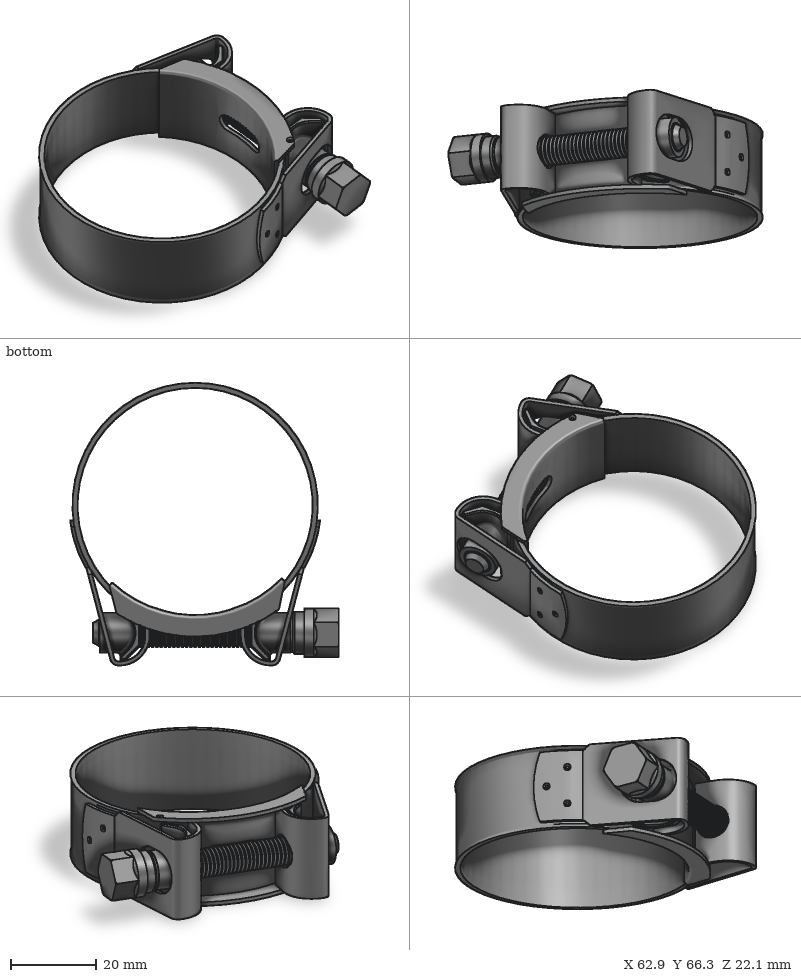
import cadquery as cq
import math

sheet = 1.0
band_half_width = 10.05
band_outer_r = 28.5
band_inner_r = band_outer_r - sheet

flare_height = 0.85
flare_out = 0.25

loop_top_y = 37.5
loop_arc_r = 7.0
loop_inner_x = 10.65
loop_corner_r = 2.05
kink_x = 25.5
kink_y = 14.6
leg_tilt = 14.7

tongue_half_width = 8.6
tongue_shoulder_y = 16.1
tongue_corner_y = 5.0
tongue_tip_y = 3.5
weld_spots = [(11.3, 4.5), (11.3, -4.5), (6.6, 0.0)]
spot_r = 0.8
spot_floor_r = 0.3
spot_depth = 0.25

screw_y = 29.8
thread_r = 3.45
thread_root_r = 2.8
thread_pitch = 1.0
thread_crest = 0.25
thread_half_length = 12.9
tip_x = -23.9
tip_base_x = -22.5
tip_base_r = 3.1
tip_r = 2.3
head_neck_r = 4.5
head_neck_end_x = 22.85
head_collar_x = 23.3
head_collar_r = 4.95
head_flange_x = 25.55
head_flange_end_x = 27.8
head_flange_r = 5.7
head_end_x = 33.65
hex_across_flats = 10.0
hex_turn = 5.0
hex_chamfer = 0.25

leg_slot_length = 13.25
leg_slot_width = 10.6
leg_slot_y = 29.6
inner_hole_r = 4.0

barrel_r = 4.7
barrel_end_x = 22.3
seat_half_width = 8.95
seat_front_x = 12.9
seat_flat_half = 3.1
seat_half_height = 6.4
seat_tip_x = 16.3
seat_heel_x = 17.55
seat_heel_half = 5.5
seat_bend_r = 5.3
seat_chamfer = 0.3
barrel_fillet = 0.65

bridge_top_y = 26.6
bridge_half_length = 20.5
flange_height = 4.1
flange_shoulder_x = 19.1
flange_shoulder_y = 24.7
flange_corner_r = 1.0
bridge_turn = -1.4
bridge_slot_length = 13.6
bridge_slot_width = 4.8
bridge_spot = (18.1, 24.4)


def both_sides(shape):
    """Join a left-hand shape with its mirror image about the YZ plane."""
    return shape.union(shape.mirror("YZ"))


def slab(x0, x1, y0, y1, half_height):
    """Box between the given X and Y limits, centred on Z = 0."""
    box = cq.Workplane("XY").box(x1 - x0, y1 - y0, 2 * half_height)
    return box.translate(((x0 + x1) / 2, (y0 + y1) / 2, 0))


def weld_spot(x, y, z, direction):
    """Tapered recess that goes from a surface point into the sheet."""
    return cq.Workplane(obj=cq.Solid.makeCone(
        spot_r, spot_floor_r, spot_depth, cq.Vector(x, y, z), cq.Vector(*direction)))


def make_ring():
    """Open ring with its rims flared on the outside."""
    rim_start = band_half_width - flare_height
    section = [
        (band_inner_r, -band_half_width),
        (band_outer_r + flare_out, -band_half_width),
        (band_outer_r, -rim_start),
        (band_outer_r, rim_start),
        (band_outer_r + flare_out, band_half_width),
        (band_inner_r, band_half_width),
    ]
    ring = cq.Workplane("XZ").polyline(section).close().revolve(360, (0, 0), (0, 1))
    gap = slab(-loop_inner_x, loop_inner_x, 0, loop_top_y, 2 * band_half_width)
    return ring.cut(gap)


def make_loop():
    """Left loop with its tongue, as one bent strip."""
    arc_x = -loop_inner_x - loop_arc_r
    arc_y = loop_top_y - loop_arc_r
    foot_y = kink_y - sheet / 2
    slope = math.tan(math.radians(leg_tilt))
    leg_foot_x = -kink_x + (foot_y - kink_y) * slope
    leg_top_x = -kink_x + (loop_top_y - kink_y) * slope
    outside = (
        cq.Workplane("XY")
        .moveTo(leg_foot_x, foot_y)
        .lineTo(leg_top_x, loop_top_y)
        .lineTo(arc_x, loop_top_y)
        .radiusArc((-loop_inner_x, arc_y), loop_arc_r)
        .lineTo(-loop_inner_x, foot_y)
        .close()
    )
    corner = cq.selectors.NearestToPointSelector((leg_top_x, loop_top_y, 0))
    outer = outside.extrude(band_half_width, both=True).edges("|Z").edges(corner).fillet(loop_corner_r)
    outline = outer.faces(">Z").wires().val()
    inner = (cq.Workplane("XY").add(outline.translate(cq.Vector(0, 0, -2 * band_half_width)))
             .toPending().offset2D(-sheet).extrude(3 * band_half_width))
    bore = cq.Workplane("XY").circle(band_outer_r - sheet / 2).extrude(band_half_width, both=True)
    above_kink = slab(-loop_top_y, 0, kink_y, 2 * loop_top_y, band_half_width)
    strip = outer.cut(inner).cut(bore).intersect(above_kink)

    tongue = (cq.Workplane("XY").circle(band_outer_r + sheet).circle(band_outer_r)
              .extrude(band_half_width, both=True)
              .intersect(slab(-2 * kink_x, 0, 0, kink_y, band_half_width)))

    side_outline = (
        cq.Workplane("YZ")
        .moveTo(loop_top_y, band_half_width)
        .lineTo(tongue_shoulder_y, band_half_width)
        .lineTo(kink_y, tongue_half_width)
        .lineTo(tongue_corner_y, tongue_half_width)
        .threePointArc((tongue_tip_y, 0), (tongue_corner_y, -tongue_half_width))
        .lineTo(kink_y, -tongue_half_width)
        .lineTo(tongue_shoulder_y, -band_half_width)
        .lineTo(loop_top_y, -band_half_width)
        .close()
        .extrude(-2 * kink_x)
    )
    loop = strip.union(tongue).intersect(side_outline)

    leg_slot = (cq.Workplane("YZ", origin=(arc_x, 0, 0)).center(leg_slot_y, 0)
                .slot2D(leg_slot_length, leg_slot_width).extrude(-kink_x))
    loop = loop.cut(leg_slot)
    for y, z in weld_spots:
        x = -math.sqrt((band_outer_r + sheet) ** 2 - y ** 2)
        loop = loop.cut(weld_spot(x, y, z, (-x, -y, 0)))
    return loop


def make_band():
    """Ring, both loops and both tongues, with the clearance holes for the screw."""
    hole_reach = loop_inner_x + 2 * sheet
    screw_hole = (cq.Workplane("YZ", origin=(-hole_reach, 0, 0)).center(screw_y, 0)
                  .circle(inner_hole_r).extrude(2 * hole_reach))
    return make_ring().union(both_sides(make_loop())).cut(screw_hole)


def make_bridge():
    """Curved channel under the gap; its base ends rest on the inside of the band."""
    end_y = math.sqrt(band_inner_r ** 2 - bridge_half_length ** 2)
    rise = bridge_top_y - end_y
    base_r = (bridge_half_length ** 2 + rise ** 2) / (2 * rise)
    centre_y = bridge_top_y - base_r
    base_in = base_r - sheet
    half_width = band_half_width + sheet

    def block(r0, r1, half_height):
        return cq.Workplane("XY").circle(r1).circle(r0).extrude(half_height, both=True)

    channel = block(base_in, base_r + flange_height, half_width)
    channel = channel.faces("|Z").edges(cq.selectors.RadiusNthSelector(0)).fillet(sheet)
    channel = channel.cut(block(base_r, base_r + 2 * flange_height, band_half_width))
    channel = channel.translate((0, centre_y, 0))

    lean = (flange_shoulder_x - bridge_half_length) / (flange_shoulder_y - end_y)
    top_y = bridge_top_y + flange_height
    top_x = bridge_half_length + lean * (top_y - end_y)
    outline = [
        (0, centre_y),
        (bridge_half_length, end_y),
        (top_x, top_y),
        (-top_x, top_y),
        (-bridge_half_length, end_y),
    ]
    bridge = channel.intersect(cq.Workplane("XY").polyline(outline).close().extrude(half_width, both=True))
    for side in (-1, 1):
        for z in (-half_width, half_width):
            corner = cq.selectors.NearestToPointSelector((side * flange_shoulder_x, flange_shoulder_y, z))
            bridge = bridge.edges("|Z").edges(corner).fillet(flange_corner_r)

    slot = cq.Workplane("XZ").slot2D(bridge_slot_length, bridge_slot_width).extrude(-bridge_top_y)
    bridge = bridge.cut(slot).rotate((0, 0, 0), (0, 0, 1), bridge_turn)
    return bridge.cut(weld_spot(*bridge_spot, half_width, (0, 0, -1)))


def make_screw():
    """Threaded shank with a tapered tip and a flanged hexagon head."""
    flange_slope_end = head_flange_end_x + head_flange_r - hex_across_flats / 2
    profile = [
        (tip_x, 0),
        (tip_x, tip_r),
        (tip_base_x, tip_base_r),
        (-barrel_end_x, tip_base_r),
        (-barrel_end_x, thread_r),
        (barrel_end_x, thread_r),
        (barrel_end_x, head_neck_r),
        (head_neck_end_x, head_neck_r),
        (head_collar_x, head_collar_r),
        (head_flange_x, head_collar_r),
        (head_flange_x, head_flange_r),
        (head_flange_end_x, head_flange_r),
        (flange_slope_end, hex_across_flats / 2),
        (flange_slope_end, 0),
    ]
    body = cq.Workplane("XY").polyline(profile).close().revolve(360, (0, 0), (1, 0))

    start = -thread_half_length
    grooves = cq.Workplane("XY").moveTo(start, 2 * thread_r).lineTo(start, thread_r)
    for i in range(round(2 * thread_half_length / thread_pitch)):
        start = -thread_half_length + i * thread_pitch
        grooves = (grooves.lineTo(start + thread_crest / 2, thread_r)
                   .lineTo(start + thread_pitch / 2, thread_root_r)
                   .lineTo(start + thread_pitch - thread_crest / 2, thread_r))
    grooves = (grooves.lineTo(thread_half_length, thread_r).lineTo(thread_half_length, 2 * thread_r).close()
               .revolve(360, (0, 0), (1, 0)))

    corner_r = hex_across_flats / math.sqrt(3)
    hexagon = (cq.Workplane("YZ", origin=(head_flange_end_x, 0, 0)).polygon(6, 2 * corner_r)
               .extrude(head_end_x - head_flange_end_x)
               .rotate((0, 0, 0), (1, 0, 0), hex_turn))
    rounding = (cq.Workplane("YZ", origin=(head_flange_end_x, 0, 0)).circle(corner_r)
                .extrude(head_end_x - head_flange_end_x).faces(">X").chamfer(hex_chamfer))
    return body.cut(grooves).union(hexagon.intersect(rounding)).translate((0, screw_y, 0))


def make_trunnion(side):
    """Barrel with a three-sided seat; side is -1 for the left end, 1 for the right."""
    seat_back_corner_x = seat_heel_x - seat_heel_half
    seat = (
        cq.Workplane("XY")
        .moveTo(-seat_front_x, seat_flat_half)
        .lineTo(-seat_tip_x, seat_half_height)
        .lineTo(-seat_heel_x, seat_half_height)
        .lineTo(-seat_heel_x, seat_heel_half)
        .lineTo(-seat_back_corner_x, 0)
        .lineTo(-seat_heel_x, -seat_heel_half)
        .lineTo(-seat_heel_x, -seat_half_height)
        .lineTo(-seat_tip_x, -seat_half_height)
        .lineTo(-seat_front_x, -seat_flat_half)
        .close()
        .extrude(seat_half_width, both=True)
        .edges("|Z").edges(cq.selectors.NearestToPointSelector((-seat_back_corner_x, 0, 0)))
        .fillet(seat_bend_r)
        .faces("|Z").chamfer(seat_chamfer)
    )
    barrel = (cq.Workplane("YZ", origin=(-barrel_end_x, 0, 0)).circle(barrel_r)
              .extrude(barrel_end_x - seat_front_x))
    behind_front = (
        cq.Workplane("XY")
        .moveTo(-barrel_end_x, seat_half_height)
        .lineTo(-seat_tip_x, seat_half_height)
        .lineTo(-seat_front_x, seat_flat_half)
        .lineTo(-seat_front_x, -seat_flat_half)
        .lineTo(-seat_tip_x, -seat_half_height)
        .lineTo(-barrel_end_x, -seat_half_height)
        .close()
        .extrude(seat_half_width, both=True)
    )
    trunnion = seat.union(barrel.intersect(behind_front))
    joint = cq.selectors.BoxSelector(
        (-barrel_end_x + barrel_fillet, -seat_heel_half, -seat_heel_half),
        (-seat_front_x - barrel_fillet, seat_heel_half, seat_heel_half))
    trunnion = trunnion.edges(joint).edges("not %LINE").fillet(barrel_fillet)
    bore = cq.Workplane("YZ", origin=(-barrel_end_x, 0, 0)).circle(thread_r).extrude(barrel_end_x)
    trunnion = trunnion.cut(bore).translate((0, screw_y, 0))
    return trunnion if side < 0 else trunnion.mirror("YZ")


band = make_band()
bridge = make_bridge()
screw = make_screw()
trunnions = [make_trunnion(side) for side in (-1, 1)]

bodies = [band, bridge, screw, *trunnions]
result = cq.Compound.makeCompound([solid for body in bodies for solid in body.solids().vals()])